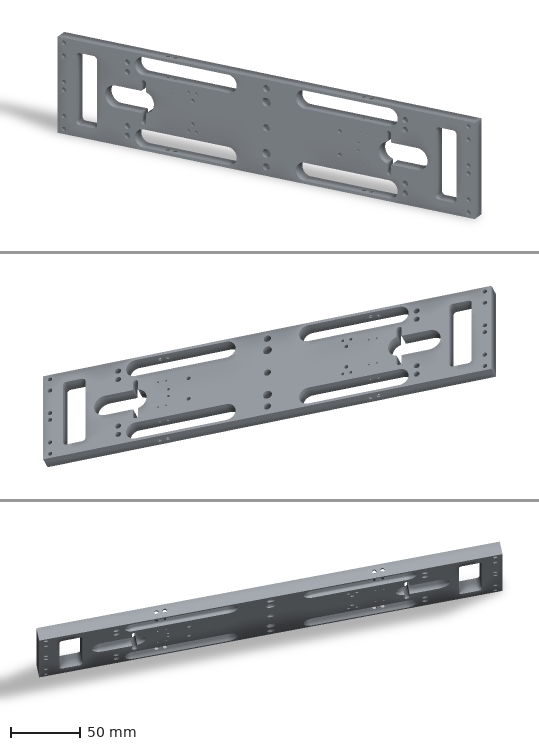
import cadquery as cq

length = 340.0
thickness = 10.0
height = 75.0

window_width = 17.0
window_height = 56.5
window_x = 146.5
window_corner_radius = 2.7

slot_length = 83.0
slot_height = 14.3
slot_x = 65.5
slot_z = 28.2

keyhole_length = 39.8
keyhole_height = 17.5
keyhole_x = 111.5
cross_slot_length = 34.5
cross_slot_width = 3.7
cross_slot_x = 100.0

end_hole_diameter = 3.5
end_hole_x = 165.0
end_hole_heights = (3.0, 23.5, 33.5)

pair_hole_diameter = 4.5
pair_hole_x = 113.2
pair_hole_heights = (21.0, 28.5)

center_hole_diameter = 5.5
center_hole_z = 30.5
large_center_hole_diameter = 6.8
large_center_hole_z = 20.0

mount_hole_diameter = 3.0
mount_hole_x = 60.0
mount_hole_z = 9.2

pin_hole_diameter = 1.5
pin_hole_z = 11.2
rail_hole_diameter = 3.0
core_hole_diameter = 2.0
drilled_x = 80.0
small_hole_spacing = 6.0
drilled_columns = (drilled_x - small_hole_spacing / 2, drilled_x + small_hole_spacing / 2)

left_hole_diameter = 2.5
left_hole_x = 60.2
left_hole_z = 15.0

right_hole_diameter = 2.0
right_hole_x = 75.0
right_hole_z = small_hole_spacing / 2


def mirrored(columns, rows):
    """Positions at plus and minus every column and row offset."""
    return [(sx * x, sz * z) for x in columns for z in rows for sx in (-1, 1) for sz in (-1, 1)]


def front_sketch(points):
    """Workplane on the plate's mid-plane with the given X, Z points."""
    return cq.Workplane("XZ").pushPoints(points)


def through(profile):
    """Extrude an XZ profile past both faces of the plate."""
    return profile.extrude(thickness, both=True)


def round_holes(points, diameter):
    return through(front_sketch(points).circle(diameter / 2))


def slots(points, slot_len, slot_width, angle=0):
    return through(front_sketch(points).slot2D(slot_len, slot_width, angle))


def windows():
    blocks = through(front_sketch([(-window_x, 0), (window_x, 0)]).rect(window_width, window_height))
    return blocks.edges("|Y").fillet(window_corner_radius)


def vertical_holes(diameter, start_z, depth):
    """Holes drilled along Z, from start_z up through the given depth."""
    points = [(side * x, 0) for x in drilled_columns for side in (-1, 1)]
    plane = cq.Workplane("XY").workplane(offset=start_z)
    return plane.pushPoints(points).circle(diameter / 2).extrude(depth)


def rail_and_core_holes():
    """Wider holes through both outer rails, narrower ones through the core between the slots."""
    rail_depth = height / 2 - slot_z
    lower_rail = vertical_holes(rail_hole_diameter, -height / 2, rail_depth)
    upper_rail = vertical_holes(rail_hole_diameter, slot_z, rail_depth)
    core = vertical_holes(core_hole_diameter, -slot_z, 2 * slot_z)
    return lower_rail.union(core).union(upper_rail)


left_hole_columns = [-left_hole_x - small_hole_spacing / 2, -left_hole_x + small_hole_spacing / 2]
left_holes = [(x, z) for x in left_hole_columns for z in (-left_hole_z, left_hole_z)]
right_holes = [(right_hole_x, -right_hole_z), (right_hole_x, right_hole_z)]
center_holes = [(0, -center_hole_z), (0, 0), (0, center_hole_z)]
large_center_holes = [(0, -large_center_hole_z), (0, large_center_hole_z)]

cutters = [
    windows(),
    slots(mirrored([slot_x], [slot_z]), slot_length, slot_height),
    slots([(-keyhole_x, 0), (keyhole_x, 0)], keyhole_length, keyhole_height),
    slots([(-cross_slot_x, 0), (cross_slot_x, 0)], cross_slot_length, cross_slot_width, 90),
    round_holes(mirrored([end_hole_x], end_hole_heights), end_hole_diameter),
    round_holes(mirrored([pair_hole_x], pair_hole_heights), pair_hole_diameter),
    round_holes(center_holes, center_hole_diameter),
    round_holes(large_center_holes, large_center_hole_diameter),
    round_holes(mirrored([mount_hole_x], [mount_hole_z]), mount_hole_diameter),
    round_holes(mirrored(drilled_columns, [pin_hole_z]), pin_hole_diameter),
    round_holes(left_holes, left_hole_diameter),
    round_holes(right_holes, right_hole_diameter),
    rail_and_core_holes(),
]

result = cq.Workplane("XY").box(length, thickness, height)
for cutter in cutters:
    result = result.cut(cutter)